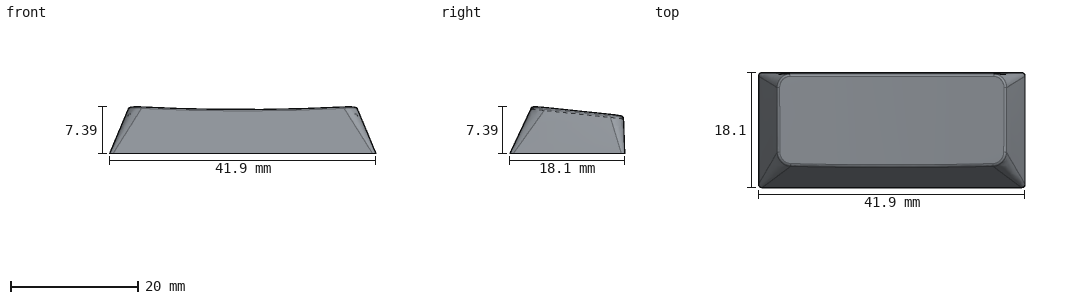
import cadquery as cq
import math

base_width = 41.91
base_depth = 18.1
base_corner_radius = 0.55

crown_width = 35.75
crown_back_setback = 0.22
crown_front_setback = 3.58
crown_front_height = 7.6
crown_slope = 6.0
crown_corner_radius = 2.25

dish_radius = 300.0
dish_floor_below_crown = 0.63

rim_fillet = 0.45

slope = math.radians(crown_slope)
crown_back_y = base_depth / 2 - crown_back_setback
crown_front_y = crown_front_setback - base_depth / 2
crown_run = crown_back_y - crown_front_y
crown_center_y = (crown_back_y + crown_front_y) / 2
crown_center_height = crown_front_height - crown_run / 2 * math.tan(slope)
crown_length = crown_run / math.cos(slope)

crown_plane = cq.Plane(
    origin=(0, crown_center_y, crown_center_height),
    xDir=(1, 0, 0),
    normal=(0, math.sin(slope), math.cos(slope)),
)


def rounded_rectangle(width, depth, radius):
    """Outline of a rounded rectangle centred on its origin."""
    return cq.Sketch().rect(width, depth).vertices().fillet(radius)


def tapered_body():
    """Straight-sided body from the base outline to the sloped crown."""
    base = rounded_rectangle(base_width, base_depth, base_corner_radius)
    crown = rounded_rectangle(crown_width, crown_length, crown_corner_radius)
    return cq.Workplane("XY").placeSketch(base, crown.moved(crown_plane.location)).loft(ruled=True)


def dish_cutter():
    """Cylinder above the crown, its axis running down the slope."""
    axis_height = dish_radius - dish_floor_below_crown
    cutter_length = 2 * base_depth
    start = crown_plane.toWorldCoords((0, -cutter_length / 2, axis_height))
    cylinder = cq.Solid.makeCylinder(dish_radius, cutter_length, start, crown_plane.yDir)
    return cq.Workplane(cylinder)


def round_rim(body):
    """Fillet the edge all round the dished top face."""
    return body.faces(">Z").edges().fillet(rim_fillet)


result = round_rim(tapered_body().cut(dish_cutter()))